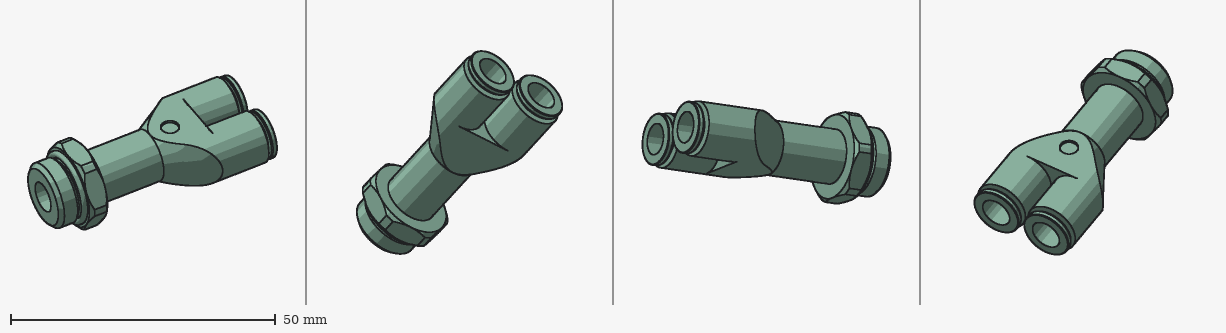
import cadquery as cq


total_length = 45.15
neck_end = 5.45
nut_end = 9.45
fork_start = 23.35
fork_end = 33.0
web_end = 33.8
socket_end = 43.1

thread_radius = 6.6
thread_chamfer = 0.85
neck_start = 4.45
neck_radius = 5.85
ring_center_radius = 6.75
ring_center_y = 5.2
ring_section_radius = 0.68

nut_across_flats = 16.0
nut_turned_radius = 8.8
nut_chamfer_length = 0.68
hexagon_flat_pairs = 3

tube_radius = 5.25
socket_offset = 5.5
bore_radius = 3.0
badge_radius = 1.75
badge_y = 27.7
badge_depth = 0.5

collar_radius = 4.9
collar_neck_radius = 3.6
collar_start = 43.9
collar_back_chamfer_length = 0.25
collar_chamfer = 0.15


def revolve_about_y(points, offset=0):
    """Turn a closed (radius, y) outline about an axis parallel to Y at X = offset."""
    return (
        cq.Workplane("XY", origin=(offset, 0, 0))
        .polyline(points)
        .close()
        .revolve(360, (0, 0, 0), (0, 1, 0))
    )


def cylinder_along_y(radius, start, end, offset=0):
    return revolve_about_y([(0, start), (radius, start), (radius, end), (0, end)], offset)


def make_spigot():
    thread_end = neck_start - (thread_radius - neck_radius)
    spigot = revolve_about_y([
        (0, 0),
        (thread_radius - thread_chamfer, 0),
        (thread_radius, thread_chamfer),
        (thread_radius, thread_end),
        (neck_radius, neck_start),
        (neck_radius, nut_end),
        (0, nut_end),
    ])
    ring = (
        cq.Workplane("XY")
        .center(-ring_center_radius, ring_center_y)
        .circle(ring_section_radius)
        .revolve(360, (ring_center_radius, 0, 0), (ring_center_radius, 1, 0))
    )
    return spigot.union(ring)


def make_nut():
    """Hexagon with flats facing +Z and -Z, its corners turned and chamfered."""
    nut_length = nut_end - neck_end
    flat_radius = nut_across_flats / 2
    slab = cq.Workplane("XY").box(
        2 * nut_across_flats, nut_length, nut_across_flats
    ).translate((0, neck_end + nut_length / 2, 0))
    nut = revolve_about_y([
        (0, neck_end),
        (flat_radius, neck_end),
        (nut_turned_radius, neck_end + nut_chamfer_length),
        (nut_turned_radius, nut_end - nut_chamfer_length),
        (flat_radius, nut_end),
        (0, nut_end),
    ])
    for step in range(hexagon_flat_pairs):
        angle = step * 180 / hexagon_flat_pairs
        nut = nut.intersect(slab.rotate((0, 0, 0), (0, 1, 0), angle))
    return nut


def make_fork():
    """Two sockets bridged by a flat web, trimmed by a cone that widens from the stem."""
    web_length = web_end - fork_start
    fork = cq.Workplane("XY").box(
        2 * socket_offset, web_length, 2 * tube_radius
    ).translate((0, fork_start + web_length / 2, 0))
    for side in (-1, 1):
        fork = fork.union(cylinder_along_y(tube_radius, fork_start, socket_end, side * socket_offset))
    outer_radius = socket_offset + tube_radius
    clear_radius = outer_radius + tube_radius
    cone_slope = socket_offset / (fork_end - fork_start)
    trim_cone = revolve_about_y([
        (0, fork_start),
        (tube_radius, fork_start),
        (clear_radius, fork_start + (clear_radius - tube_radius) / cone_slope),
        (clear_radius, total_length),
        (0, total_length),
    ])
    return fork.intersect(trim_cone)


def make_collar(offset):
    return revolve_about_y([
        (0, fork_end),
        (collar_neck_radius, fork_end),
        (collar_neck_radius, collar_start),
        (collar_radius - collar_chamfer, collar_start),
        (collar_radius, collar_start + collar_back_chamfer_length),
        (collar_radius, total_length - collar_chamfer),
        (collar_radius - collar_chamfer, total_length),
        (0, total_length),
    ], offset)


def make_bore(offset):
    """Passage from the spigot face that bends through the fork into one socket."""
    path = cq.Workplane("XY").polyline([
        (0, 0),
        (0, fork_start),
        (offset, fork_end),
        (offset, total_length),
    ])
    return cq.Workplane("XZ").circle(bore_radius).sweep(path, transition="right")


def make_badge_recess():
    return (
        cq.Workplane("XY", origin=(0, badge_y, tube_radius))
        .circle(badge_radius)
        .extrude(-badge_depth)
    )


result = make_spigot().union(make_nut())
result = result.union(cylinder_along_y(tube_radius, nut_end, fork_start))
result = result.union(make_fork())
for side in (-1, 1):
    result = result.union(make_collar(side * socket_offset))
for side in (-1, 1):
    result = result.cut(make_bore(side * socket_offset))
result = result.cut(make_badge_recess())